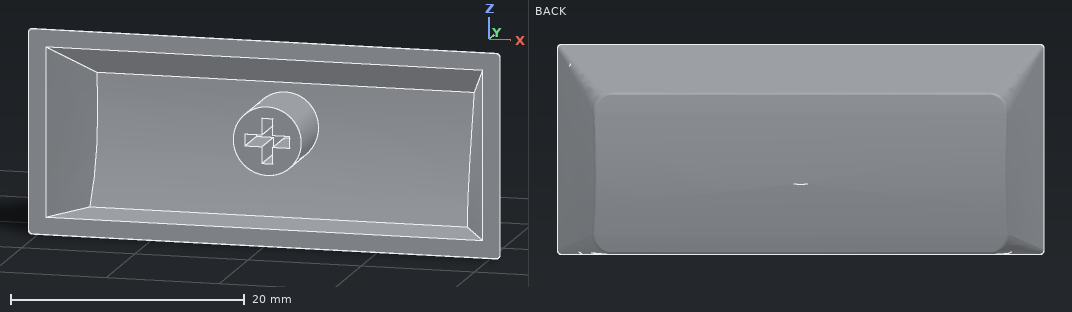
import cadquery as cq
import math


length = 41.7
height = 18.0
mouth_corner_radius = 0.38
back_half_length = 17.85
back_corner_radius = 1.75
back_top = (8.8, 4.85)
back_bottom = (6.05, -height / 2)
back_bulge = 0.63
rim_fillet = 0.35

wall = 1.55
floor_half_length = 16.7
floor_top = (7.4, 3.85)
floor_bottom = (5.0, -height / 2 + wall)
floor_bulge = 0.5

stem_diameter = 6.0
stem_start = 1.05
cross_span = 3.95
cross_bar_height = 1.05
cross_bar_width = 0.95
cross_depth = 4.0

overrun = 1.25


def section(half_length, top, bottom, radius):
    """Rectangle spanning two (Y, Z) edges, with optionally rounded corners."""
    rise_y = top[0] - bottom[0]
    rise_z = top[1] - bottom[1]
    center = (0, (top[0] + bottom[0]) / 2, (top[1] + bottom[1]) / 2)
    plane = cq.Plane(origin=center, xDir=(1, 0, 0), normal=(0, -rise_z, rise_y))
    sketch = cq.Sketch().rect(2 * half_length, math.hypot(rise_y, rise_z))
    if radius > 0:
        sketch = sketch.vertices().fillet(radius)
    return sketch.moved(plane.location)


def extend(start, end):
    """Carry a value on from start through end, by the overrun."""
    return start + overrun * (end - start)


def extend_point(start, end):
    return tuple(extend(a, b) for a, b in zip(start, end))


def tapered_body(mouth, back):
    """Ruled body from the mouth through the back; each is (half length, top, bottom, radius)."""
    far = (
        extend(mouth[0], back[0]),
        extend_point(mouth[1], back[1]),
        extend_point(mouth[2], back[2]),
        extend(mouth[3], back[3]),
    )
    return cq.Workplane().placeSketch(section(*mouth), section(*far)).loft(ruled=True)


def back_cylinder(top, bottom, bulge):
    """Full-length cylinder along X whose back passes through two (Y, Z) points."""
    rise_y = top[0] - bottom[0]
    rise_z = top[1] - bottom[1]
    chord = math.hypot(rise_y, rise_z)
    radius = (chord**2 / 4 + bulge**2) / (2 * bulge)
    middle_y = (top[0] + bottom[0]) / 2
    middle_z = (top[1] + bottom[1]) / 2
    inward = radius - bulge
    center_y = middle_y - inward * rise_z / chord
    center_z = middle_z + inward * rise_y / chord
    cylinder = cq.Workplane("YZ").center(center_y, center_z).circle(radius)
    return cylinder.extrude(length / 2, both=True)


def make_shell():
    mouth = (length / 2, (0, height / 2), (0, -height / 2), mouth_corner_radius)
    back = (back_half_length, back_top, back_bottom, back_corner_radius)
    body = tapered_body(mouth, back).intersect(back_cylinder(back_top, back_bottom, back_bulge))
    return body.faces(">Y").edges().fillet(rim_fillet)


def make_cavity():
    mouth_half_height = height / 2 - wall
    mouth = (length / 2 - wall, (0, mouth_half_height), (0, -mouth_half_height), 0)
    floor = (floor_half_length, floor_top, floor_bottom, 0)
    return tapered_body(mouth, floor).intersect(back_cylinder(floor_top, floor_bottom, floor_bulge))


def make_stem():
    stem_end = floor_top[0] + floor_bulge
    start_plane = cq.Workplane("XZ", origin=(0, stem_start, 0))
    return start_plane.circle(stem_diameter / 2).extrude(stem_start - stem_end)


def make_cross():
    start_plane = cq.Workplane("XZ", origin=(0, stem_start, 0))
    across = start_plane.rect(cross_span, cross_bar_height).extrude(-cross_depth)
    upright = start_plane.rect(cross_bar_width, cross_span).extrude(-cross_depth)
    return across.union(upright)


shell = make_shell()
result = shell.cut(make_cavity()).union(make_stem()).cut(make_cross())